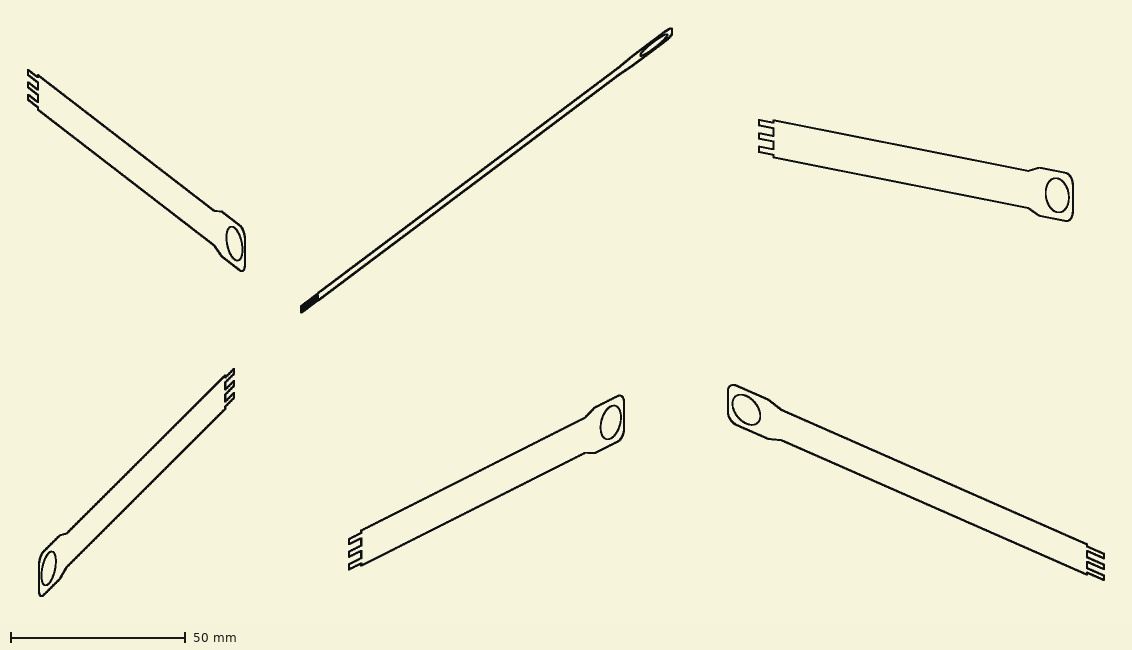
import cadquery as cq

length = 133.4
thickness = 0.2
head_height = 14.0

strip_height = 10.8
pin_length = 6.0
taper_start = 114.4
taper_end = 119.1
corner_radius = 3.1

pin_height = 1.6
pin_pitch = 3.9
pin_count = 3

recess_radius = 5.0
recess_depth = thickness / 2
recess_end_distance = 6.5


def make_blade():
    """Flat strip that widens into a head with rounded outer corners."""
    half_strip = strip_height / 2
    half_head = head_height / 2
    outline = [
        (pin_length, -half_strip),
        (taper_start, -half_strip),
        (taper_end, -half_head),
        (length, -half_head),
        (length, half_head),
        (taper_end, half_head),
        (taper_start, half_strip),
        (pin_length, half_strip),
    ]
    blade = cq.Workplane("XZ").polyline(outline).close().extrude(-thickness)
    return blade.edges("|Y and >X").fillet(corner_radius)


def make_pin(z_center):
    """Flat connector pin ending at the strip."""
    pin = cq.Workplane("XY").box(pin_length, thickness, pin_height, centered=(False, False, True))
    return pin.translate((0, 0, z_center))


def make_recess():
    """Disc removed from the back (+Y) face of the head."""
    disc = cq.Workplane("XZ").center(length - recess_end_distance, 0).circle(recess_radius)
    return disc.extrude(-recess_depth).translate((0, thickness - recess_depth, 0))


result = make_blade()
for index in range(pin_count):
    result = result.union(make_pin((index - (pin_count - 1) / 2) * pin_pitch))
result = result.cut(make_recess())